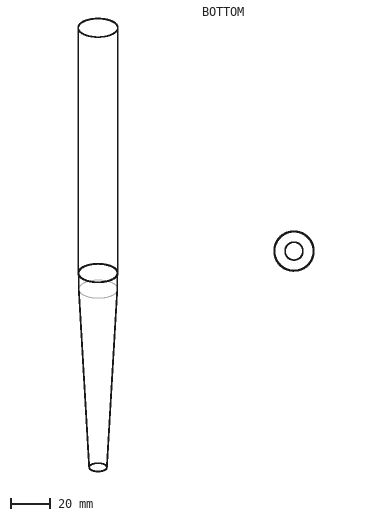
import cadquery as cq

total_length = 250.0
shank_diameter = 20.0
neck_diameter = 19.5
tip_diameter = 9.0
shank_length = 139.5
neck_length = 9.0

top_z = total_length / 2
bottom_z = -total_length / 2
shank_bottom_z = top_z - shank_length
neck_bottom_z = shank_bottom_z - neck_length

shank_radius = shank_diameter / 2
neck_radius = neck_diameter / 2
tip_radius = tip_diameter / 2

profile = (
    cq.Workplane("XZ")
    .moveTo(0, top_z)
    .lineTo(shank_radius, top_z)
    .lineTo(shank_radius, shank_bottom_z)
    .lineTo(neck_radius, shank_bottom_z)
    .lineTo(neck_radius, neck_bottom_z)
    .lineTo(tip_radius, bottom_z)
    .lineTo(0, bottom_z)
    .close()
)
result = profile.revolve(360, (0, 0, 0), (0, 1, 0))